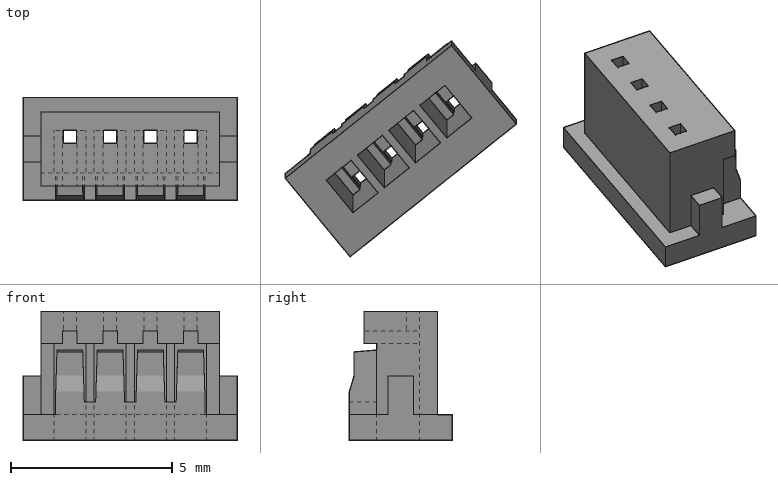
import cadquery as cq


BASE_LENGTH = 6.65
BASE_DEPTH = 3.2
BASE_HEIGHT = 0.8

BODY_LENGTH = 5.55
BODY_MARGIN = 0.45
BODY_FRONT = BODY_MARGIN
BODY_BACK = BASE_DEPTH - BODY_MARGIN
WALL_FRONT = 0.85
OVERHANG_BOTTOM = 3.0
TOTAL_HEIGHT = 4.0

EAR_FRONT = 1.2
EAR_BACK = 2.0
EAR_HEIGHT = 2.0

CONTACT_COUNT = 4
PITCH = 1.25
CONTACT_X = [(i - (CONTACT_COUNT - 1) / 2) * PITCH for i in range(CONTACT_COUNT)]

TAB_ROOT_Z = 1.2
TAB_ROOT_WIDTH = 0.9
TAB_TIP_WIDTH = 0.8
TAB_TIP_FRONT_Z = 2.745
TAB_TIP_BACK_Z = 2.805
TAB_TIP_Y = 0.145
TAB_SLOPE_BOTTOM = 1.5
TAB_SLOPE_TOP = 2.0

CAVITY_WIDTH = 1.0
NOTCH_WIDTH = 0.45
NOTCH_TOP = 3.4
HOLE_SIZE = 0.4
HOLE_Y = 1.975
HOLE_FRONT = HOLE_Y - HOLE_SIZE / 2
HOLE_BACK = HOLE_Y + HOLE_SIZE / 2
CAVITY_BACK = HOLE_BACK


def block(width, y_range, z_range, x_center=0.0):
    """Box centred on x_center that spans the given Y and Z ranges."""
    y_min, y_max = y_range
    z_min, z_max = z_range
    return (
        cq.Workplane("XY")
        .box(width, y_max - y_min, z_max - z_min, centered=(True, False, False))
        .translate((x_center, y_min, z_min))
    )


def tab(x_center):
    """Tab with a stepped side profile that narrows toward its tip."""
    profile = (
        cq.Workplane("YZ")
        .polyline([
            (0, TAB_ROOT_Z),
            (0, TAB_SLOPE_BOTTOM),
            (TAB_TIP_Y, TAB_SLOPE_TOP),
            (TAB_TIP_Y, TAB_TIP_FRONT_Z),
            (WALL_FRONT, TAB_TIP_BACK_Z),
            (WALL_FRONT, TAB_ROOT_Z),
        ])
        .close()
        .extrude(TAB_ROOT_WIDTH / 2, both=True)
    )
    taper = (
        cq.Workplane("XZ")
        .polyline([
            (-TAB_ROOT_WIDTH / 2, TAB_ROOT_Z),
            (TAB_ROOT_WIDTH / 2, TAB_ROOT_Z),
            (TAB_TIP_WIDTH / 2, TAB_TIP_BACK_Z),
            (-TAB_TIP_WIDTH / 2, TAB_TIP_BACK_Z),
        ])
        .close()
        .extrude(-WALL_FRONT)
    )
    return profile.intersect(taper).translate((x_center, 0, 0))


housing = block(BASE_LENGTH, (0, BASE_DEPTH), (0, BASE_HEIGHT))
housing = housing.union(block(BASE_LENGTH, (EAR_FRONT, EAR_BACK), (0, EAR_HEIGHT)))
housing = housing.union(block(BODY_LENGTH, (WALL_FRONT, BODY_BACK), (0, TOTAL_HEIGHT)))
housing = housing.union(block(BODY_LENGTH, (BODY_FRONT, BODY_BACK), (OVERHANG_BOTTOM, TOTAL_HEIGHT)))

sill_length = CONTACT_X[-1] - CONTACT_X[0] + TAB_ROOT_WIDTH
housing = housing.union(block(sill_length, (0, WALL_FRONT), (0, TAB_ROOT_Z)))

for x in CONTACT_X:
    housing = housing.cut(block(CAVITY_WIDTH, (WALL_FRONT, CAVITY_BACK), (0, OVERHANG_BOTTOM), x))
    housing = housing.cut(block(NOTCH_WIDTH, (BODY_FRONT, CAVITY_BACK), (OVERHANG_BOTTOM, NOTCH_TOP), x))
    housing = housing.cut(block(HOLE_SIZE, (HOLE_FRONT, HOLE_BACK), (NOTCH_TOP, TOTAL_HEIGHT), x))
    housing = housing.union(tab(x))

result = housing